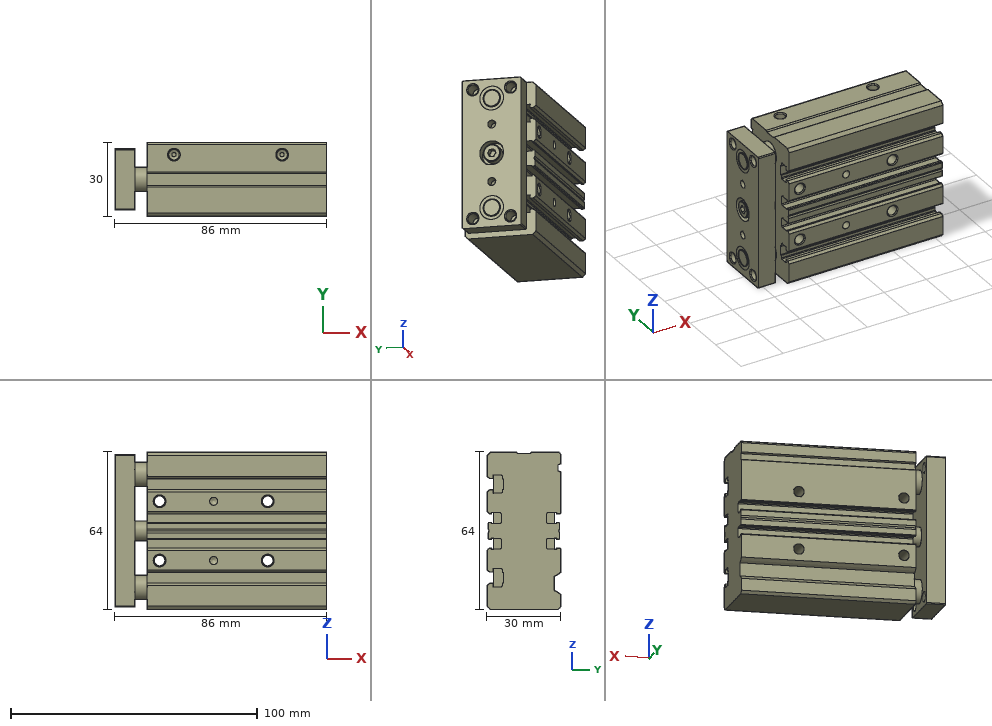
import cadquery as cq
import math

length = 86.0
width = 30.0
height = 64.0
plate_thickness = 8.0
rod_gap = 5.0
housing_front = plate_thickness + rod_gap
drill_point_angle = 118.0
hole_chamfer = 0.4

guide_radius = 5.0
guide_offset = 23.0
guide_end_radius = 3.6
rod_end_chamfer = 0.3
piston_radius = 4.0
piston_end_radius = 3.6
hex_across_flats = 3.0
hex_depth = 3.0
rear_wall = 7.3

plate_width = 24.9
plate_height = 62.0
plate_edge_chamfer = 0.4
piston_recess_radius = 5.0
piston_recess_depth = 4.0
screw_hole_diameter = 4.3
screw_hole_y = 8.0
screw_hole_z = 27.0
pin_diameter = 3.3
pin_hole_z = 12.0
plate_pin_depth = 5.0

slotted_side_chamfer = 1.4
plain_side_top_chamfer = 0.9
plain_side_bottom_chamfer = 1.2

t_slot_z = 19.0
t_mouth_half = 2.2
t_bevel_depth = 1.1
t_bevel_height = 0.9
t_lip_depth = 2.5
t_cavity_half = 3.7
t_floor_depth = 6.2
t_relief_half = 2.15
t_relief_depth = 6.8
t_corner_chamfer = 0.35

rib_recess = 0.47
rib_half = 3.4
rib_edge_chamfer = 0.35
rib_neck_half = 3.0
rib_notch_half = 0.8
rib_notch_depth = 0.35
rib_lip_depth = 1.7
rib_slot_mouth = 7.0
rib_slot_top = 7.4
rib_slot_depth = 5.85
slotted_side_lip_bevel = 0.95
plain_side_lip_bevel = 0.35
slot_corner_chamfer = 0.4

wide_slot_z = -21.3
wide_slot_half = 4.5
wide_slot_bevel_half = 3.4
wide_slot_bevel_depth = 1.5
wide_slot_floor_half = 2.75
wide_slot_floor_depth = 2.8

side_groove_z = 25.6
side_groove_half = 1.6
side_groove_floor_half = 1.2
side_groove_depth = 1.1
top_groove_half = 3.1
top_groove_floor_half = 2.5
top_groove_depth = 0.5

hole_pitch = 43.95
mount_x = 18.1
mount_z = 12.0
mount_diameter = 4.3
housing_pin_depth = 6.0
port_x = 23.9
port_y = 10.1
port_diameter = 4.3
port_depth = 6.9
port_passage_diameter = 1.7
port_passage_depth = 11.2


def rod_cylinder(radius, x_start, x_end, z=0.0):
    """Cylinder along X."""
    return cq.Workplane("YZ", origin=(x_start, 0, z)).circle(radius).extrude(x_end - x_start)


def plain_hole(point, direction, diameter, depth):
    """Cutter for a flat-ended hole."""
    return cq.Workplane(
        cq.Solid.makeCylinder(diameter / 2, depth, cq.Vector(*point), cq.Vector(*direction))
    )


def countersunk_hole(point, direction, diameter, depth):
    """Cutter for a flat-ended hole with a chamfered mouth."""
    radius = diameter / 2
    start = cq.Vector(*point)
    axis = cq.Vector(*direction)
    bore = cq.Solid.makeCylinder(radius, depth, start, axis)
    mouth = cq.Solid.makeCone(radius + hole_chamfer, radius, hole_chamfer, start, axis)
    return cq.Workplane(bore.fuse(mouth))


def drill_point(point, direction, diameter, depth):
    """Cone that a drill leaves below a hole of the given depth."""
    radius = diameter / 2
    axis = cq.Vector(*direction)
    tip_length = radius / math.tan(math.radians(drill_point_angle / 2))
    tip = cq.Solid.makeCone(radius, 0, tip_length, cq.Vector(*point) + axis * depth, axis)
    return cq.Workplane(tip)


def drilled_hole(point, direction, diameter, depth):
    """Cutter for a blind hole with a conical bottom."""
    bore = plain_hole(point, direction, diameter, depth)
    return bore.union(drill_point(point, direction, diameter, depth))


def side_cutter(side, z_centre, upper_half):
    """Lengthwise cutter in a Y side, from (depth, height) points mirrored about z_centre."""
    lower_half = [(depth, -rise) for depth, rise in reversed(upper_half) if rise > 0]
    points = [(side * (width / 2 - depth), z_centre + rise) for depth, rise in upper_half + lower_half]
    return cq.Workplane("YZ", origin=(housing_front, 0, 0)).polyline(points).close().extrude(length)


def housing_blank():
    """Chamfered block with the shallow groove along its top."""
    y = width / 2
    z = height / 2
    outline = [
        (-y, -z + slotted_side_chamfer),
        (-y + slotted_side_chamfer, -z),
        (y - plain_side_bottom_chamfer, -z),
        (y, -z + plain_side_bottom_chamfer),
        (y, z - plain_side_top_chamfer),
        (y - plain_side_top_chamfer, z),
        (top_groove_half, z),
        (top_groove_floor_half, z - top_groove_depth),
        (-top_groove_floor_half, z - top_groove_depth),
        (-top_groove_half, z),
        (-y + slotted_side_chamfer, z),
        (-y, z - slotted_side_chamfer),
    ]
    section = cq.Workplane("YZ", origin=(housing_front, 0, 0)).polyline(outline).close()
    return section.extrude(length - housing_front)


def t_slot(z):
    """T-slot in the -Y side with a relief groove in its floor."""
    return side_cutter(-1, z, [
        (0, t_mouth_half + t_bevel_height),
        (t_bevel_depth, t_mouth_half),
        (t_lip_depth, t_mouth_half),
        (t_lip_depth, t_cavity_half),
        (t_floor_depth - t_corner_chamfer, t_cavity_half),
        (t_floor_depth, t_cavity_half - t_corner_chamfer),
        (t_floor_depth, t_relief_half),
        (t_relief_depth, t_relief_half),
    ])


def centre_rib_slots(side, lip_bevel):
    """The two slots beside the centre rib, with the rib's own recess and notch."""
    return side_cutter(side, 0, [
        (0, rib_slot_mouth + lip_bevel),
        (lip_bevel, rib_slot_mouth),
        (rib_lip_depth, rib_slot_mouth),
        (rib_lip_depth, rib_slot_top),
        (rib_slot_depth - slot_corner_chamfer, rib_slot_top),
        (rib_slot_depth, rib_slot_top - slot_corner_chamfer),
        (rib_slot_depth, rib_neck_half + slot_corner_chamfer),
        (rib_slot_depth - slot_corner_chamfer, rib_neck_half),
        (rib_lip_depth, rib_neck_half),
        (rib_lip_depth, rib_half),
        (rib_recess + rib_edge_chamfer, rib_half),
        (rib_recess, rib_half - rib_edge_chamfer),
        (rib_recess, rib_notch_half),
        (rib_recess + rib_notch_depth, 0),
    ])


def wide_slot():
    """Tapering slot low on the +Y side."""
    return side_cutter(1, wide_slot_z, [
        (0, wide_slot_half),
        (wide_slot_bevel_depth, wide_slot_bevel_half),
        (wide_slot_floor_depth, wide_slot_floor_half),
    ])


def side_groove():
    """Shallow groove high on the +Y side."""
    return side_cutter(1, side_groove_z, [
        (0, side_groove_half),
        (side_groove_depth, side_groove_floor_half),
    ])


def cut_mounting_holes(housing, z):
    """Two through mounting holes with a locating pin hole midway between them."""
    inward = (0, 1, 0)
    for x in (mount_x, mount_x + hole_pitch):
        mouth = (x, -width / 2, z)
        housing = housing.cut(countersunk_hole(mouth, inward, mount_diameter, width))
    pin_mouth = (mount_x + hole_pitch / 2, -width / 2, z)
    return housing.cut(drilled_hole(pin_mouth, inward, pin_diameter, housing_pin_depth))


def cut_air_ports(housing):
    """Two ports in the top, each drilled on into a narrow passage."""
    down = (0, 0, -1)
    for x in (port_x, port_x + hole_pitch):
        mouth = (x, port_y, height / 2)
        housing = housing.cut(countersunk_hole(mouth, down, port_diameter, port_depth))
        housing = housing.cut(drill_point(mouth, down, port_diameter, port_depth))
        housing = housing.cut(plain_hole(mouth, down, port_passage_diameter, port_passage_depth))
    return housing


def make_housing():
    """Slotted block with blind bores for the three rods."""
    bore_end = length - rear_wall
    housing = housing_blank()
    housing = housing.cut(centre_rib_slots(-1, slotted_side_lip_bevel))
    housing = housing.cut(centre_rib_slots(1, plain_side_lip_bevel))
    housing = housing.cut(wide_slot())
    housing = housing.cut(side_groove())
    for sign in (-1, 1):
        housing = housing.cut(t_slot(sign * t_slot_z))
        housing = cut_mounting_holes(housing, sign * mount_z)
        housing = housing.cut(rod_cylinder(guide_radius, housing_front, bore_end, sign * guide_offset))
    housing = cut_air_ports(housing)
    return housing.cut(rod_cylinder(piston_radius, housing_front, bore_end))


def make_end_plate():
    """Plate bored for the rods, with corner screw holes, pin holes and a recess round the piston rod."""
    plate = cq.Workplane("YZ").rect(plate_width, plate_height).extrude(plate_thickness)
    plate = plate.edges("|X").chamfer(plate_edge_chamfer)
    inward = (1, 0, 0)
    for sign in (-1, 1):
        plate = plate.cut(rod_cylinder(guide_radius, 0, plate_thickness, sign * guide_offset))
        pin_mouth = (0, 0, sign * pin_hole_z)
        plate = plate.cut(drilled_hole(pin_mouth, inward, pin_diameter, plate_pin_depth))
        for y in (-screw_hole_y, screw_hole_y):
            mouth = (0, y, sign * screw_hole_z)
            hole = countersunk_hole(mouth, inward, screw_hole_diameter, plate_thickness)
            plate = plate.cut(hole)
    plate = plate.cut(rod_cylinder(piston_recess_radius, 0, piston_recess_depth))
    return plate.cut(rod_cylinder(piston_end_radius, 0, plate_thickness))


def make_guide_rod(z):
    """Guide rod flush with the plate face, with a fine V-groove around its end."""
    rod = rod_cylinder(guide_radius, 0, length - rear_wall, z)
    inner_cone = cq.Solid.makeCone(
        guide_end_radius - rod_end_chamfer,
        guide_end_radius,
        rod_end_chamfer,
        cq.Vector(0, 0, z),
        cq.Vector(1, 0, 0),
    )
    groove = rod_cylinder(guide_end_radius, 0, rod_end_chamfer, z).cut(cq.Workplane(inner_cone))
    return rod.cut(groove)


def make_piston_rod():
    """Piston rod with a reduced, chamfered end and a hexagon socket."""
    end = rod_cylinder(piston_end_radius, 0, plate_thickness).faces("<X").chamfer(rod_end_chamfer)
    shank = rod_cylinder(piston_radius, plate_thickness, length - rear_wall)
    hex_corner_diameter = hex_across_flats / math.cos(math.pi / 6)
    socket = cq.Workplane("YZ").polygon(6, hex_corner_diameter).extrude(hex_depth)
    return end.union(shank).cut(socket)


housing = make_housing()
end_plate = make_end_plate()
guide_rods = [make_guide_rod(z) for z in (-guide_offset, guide_offset)]
piston_rod = make_piston_rod()

result = cq.Compound.makeCompound(
    [housing.val(), end_plate.val(), *[rod.val() for rod in guide_rods], piston_rod.val()]
)